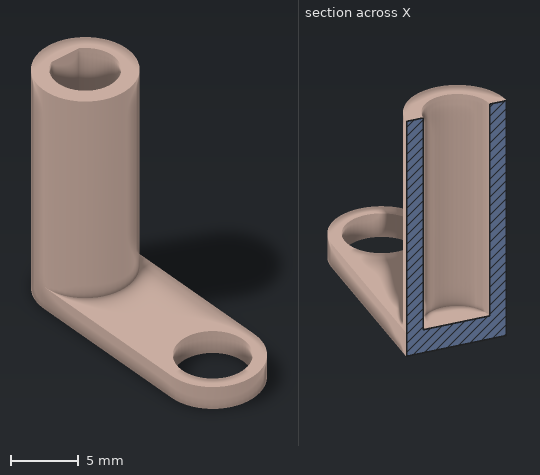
import cadquery as cq

total_length = 22.5
width = 8.0
tube_height = 20.0
arm_thickness = 2.0
arm_hole_diameter = 5.9
bore_diameter = 5.3
bore_flat_offset = 2.3

center_distance = total_length - width
bore_depth = tube_height - arm_thickness


def make_arm():
    """Flat arm from the tube axis to a rounded eye, tangent to the tube wall."""
    return (
        cq.Workplane("XY")
        .moveTo(0, -width / 2)
        .lineTo(center_distance, -width / 2)
        .threePointArc((center_distance + width / 2, 0), (center_distance, width / 2))
        .lineTo(0, width / 2)
        .close()
        .extrude(arm_thickness)
    )


def make_tube_body():
    """Solid upright cylinder at the origin."""
    return cq.Workplane("XY").circle(width / 2).extrude(tube_height)


def make_bore():
    """Blind D-shaped bore with its flat on the -X side."""
    floor = cq.Workplane("XY").workplane(offset=tube_height - bore_depth)
    round_bore = floor.circle(bore_diameter / 2).extrude(bore_depth)
    flat_limit = (
        floor.center(-bore_flat_offset, 0)
        .rect(bore_diameter, bore_diameter, centered=(False, True))
        .extrude(bore_depth)
    )
    return round_bore.intersect(flat_limit)


def make_arm_hole():
    """Round through hole in the eye of the arm."""
    return (
        cq.Workplane("XY")
        .center(center_distance, 0)
        .circle(arm_hole_diameter / 2)
        .extrude(arm_thickness)
    )


result = make_arm().union(make_tube_body()).cut(make_bore()).cut(make_arm_hole())